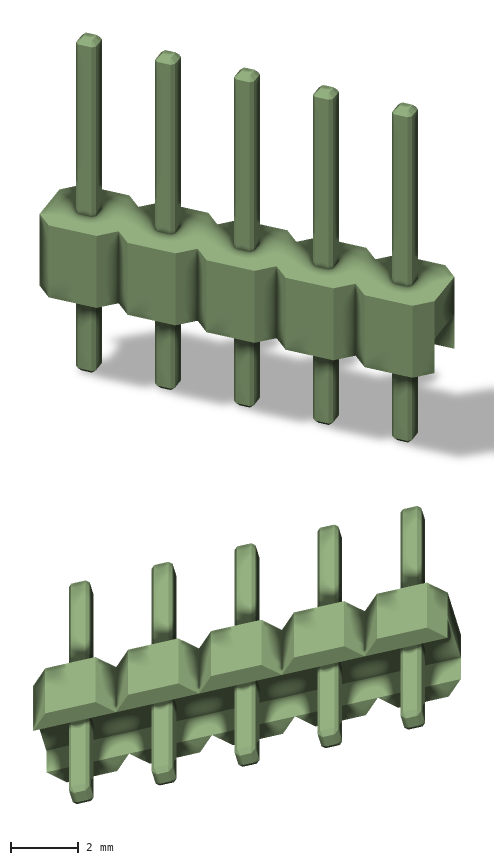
import cadquery as cq

pin_count = 5
pitch = 2.54
housing_depth = 2.5
housing_height = 2.5
corner_cut = 0.5

channel_width = housing_depth - 2 * corner_cut
channel_depth = 1.2

pin_width = 0.64
pin_above = 6.04
pin_below = 3.0
pin_length = pin_below + housing_height + pin_above
pin_edge_chamfer = 0.1
pin_tip_chamfer = 0.15

row_length = pin_count * pitch
pin_positions = [(i - (pin_count - 1) / 2) * pitch for i in range(pin_count)]


def make_block(x):
    """One octagonal housing block centred at x, standing on Z = 0."""
    block = cq.Workplane("XY").box(pitch, housing_depth, housing_height, centered=(True, True, False))
    return block.edges("|Z").chamfer(corner_cut).translate((x, 0, 0))


def make_channel():
    """The volume of the channel, open at the bottom and both ends of the row."""
    return cq.Workplane("XY").box(row_length, channel_width, channel_depth, centered=(True, True, False))


def make_pin(x):
    """One square pin at x, with bevelled long edges and bevelled tips."""
    pin = cq.Workplane("XY").box(pin_width, pin_width, pin_length, centered=(True, True, False))
    pin = pin.edges("|Z").chamfer(pin_edge_chamfer)
    pin = pin.faces("<Z or >Z").chamfer(pin_tip_chamfer)
    return pin.translate((x, 0, -pin_below))


housing = make_block(pin_positions[0])
for position in pin_positions[1:]:
    housing = housing.union(make_block(position), clean=False)
housing = housing.cut(make_channel(), clean=False)

result = housing
for position in pin_positions:
    result = result.union(make_pin(position), clean=False)